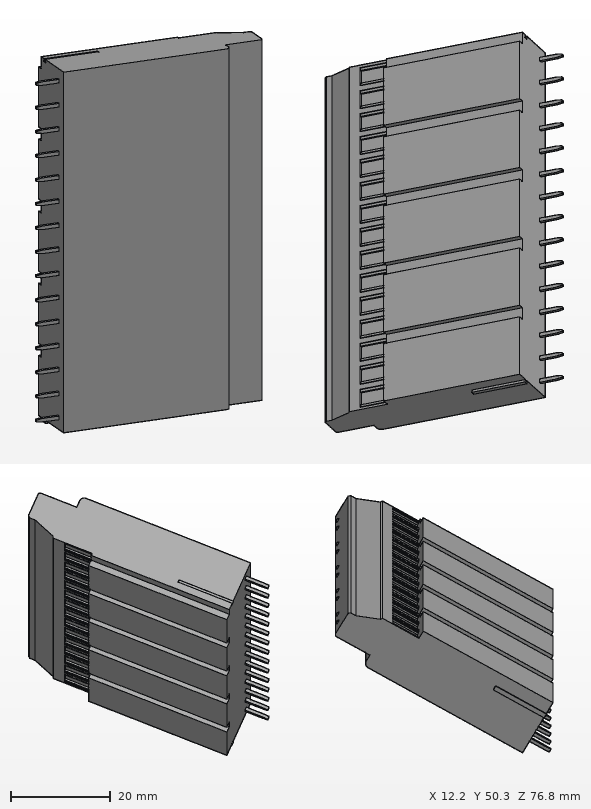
import cadquery as cq

PITCH = 5.08
POLES_PER_MODULE = 3
MODULES = 5
POLES = POLES_PER_MODULE * MODULES
MODULE_LENGTH = POLES_PER_MODULE * PITCH
BODY_LENGTH = POLES * PITCH

BODY_WIDTH = 12.24
BODY_HEIGHT = 45.03
SHOULDER_HEIGHT = 36.8
SHOULDER_ROUND = 1.0
REAR_X = 9.75
REAR_TOP_ROUND = 0.5
PANEL_HEIGHT = 30.1
STEP_X = 1.75
NOSE_X = 3.95
SLOPE_BOTTOM = 38.8
SLOPE_TOP = 43.4
SLOPE_BREAK_X = 0.4
SLOPE_BREAK_Y = 0.3
NOSE_CHAMFER_X = 0.36
NOSE_CHAMFER_Y = 0.45

CHANNEL_DEPTH = 1.27
CHANNEL_WIDTH = PITCH / 2

POCKET_TOP = 36.1
POCKET_WIDTH = 3.9
POCKET_DEPTH = 0.2
POCKET_CORE_WIDTH = 2.8
POCKET_CORE_DEPTH = 0.6

DOVETAIL_X = 3.0
DOVETAIL_LENGTH = 11.8
DOVETAIL_NECK = 0.5
DOVETAIL_HEAD = 1.0
DOVETAIL_HEIGHT = 0.64

PIN_X = 9.73
PIN_WIDTH = 0.7
PIN_THICKNESS = 0.75
PIN_LENGTH = 4.95
PIN_TIP_LENGTH = 1.2
PIN_TIP_THICKNESS = 0.4

BUMP_X = 8.35
BUMP_RADIUS = 0.45
BUMP_HEIGHT = 0.3
BUMP_THICKNESS = 0.3


def make_body():
    """Extrude the housing cross-section over all poles."""
    profile = (
        cq.Workplane("XY")
        .moveTo(0, 0)
        .lineTo(BODY_WIDTH, 0)
        .lineTo(BODY_WIDTH, SHOULDER_HEIGHT - SHOULDER_ROUND)
        .radiusArc((BODY_WIDTH - SHOULDER_ROUND, SHOULDER_HEIGHT), -SHOULDER_ROUND)
        .lineTo(REAR_X, SHOULDER_HEIGHT)
        .lineTo(REAR_X, BODY_HEIGHT - REAR_TOP_ROUND)
        .radiusArc((REAR_X - REAR_TOP_ROUND, BODY_HEIGHT), -REAR_TOP_ROUND)
        .lineTo(NOSE_X + NOSE_CHAMFER_X, BODY_HEIGHT)
        .lineTo(NOSE_X, BODY_HEIGHT - NOSE_CHAMFER_Y)
        .lineTo(NOSE_X, SLOPE_TOP)
        .lineTo(STEP_X + SLOPE_BREAK_X, SLOPE_BOTTOM)
        .lineTo(STEP_X, SLOPE_BOTTOM - SLOPE_BREAK_Y)
        .lineTo(STEP_X, PANEL_HEIGHT)
        .lineTo(0, PANEL_HEIGHT)
        .close()
    )
    return profile.extrude(BODY_LENGTH)


def make_channel(module):
    """Channel at the upper end of one module's panel."""
    top = (module + 1) * MODULE_LENGTH
    channel = cq.Workplane("XY").box(CHANNEL_DEPTH, PANEL_HEIGHT, CHANNEL_WIDTH, centered=False)
    return channel.translate((0, 0, top - CHANNEL_WIDTH))


def make_pocket(pole_z):
    """Two-level pocket: a shallow wide recess with a deeper one down its middle."""
    height = POCKET_TOP - PANEL_HEIGHT
    pocket = cq.Workplane("XY")
    for width, depth in ((POCKET_WIDTH, POCKET_DEPTH), (POCKET_CORE_WIDTH, POCKET_CORE_DEPTH)):
        level = cq.Workplane("XY").box(depth, height, width, centered=(False, False, True))
        pocket = pocket.union(level)
    return pocket.translate((STEP_X, PANEL_HEIGHT, pole_z))


def make_dovetail(end_z):
    """Dovetail bar hanging below the level end_z, wide side down."""
    return (
        cq.Workplane("XZ")
        .polyline(
            [
                (DOVETAIL_X - DOVETAIL_NECK / 2, end_z),
                (DOVETAIL_X + DOVETAIL_NECK / 2, end_z),
                (DOVETAIL_X + DOVETAIL_HEAD / 2, end_z - DOVETAIL_HEIGHT),
                (DOVETAIL_X - DOVETAIL_HEAD / 2, end_z - DOVETAIL_HEIGHT),
            ]
        )
        .close()
        .extrude(-DOVETAIL_LENGTH)
    )


def make_pin(pole_z):
    """Rectangular pin whose tip tapers in thickness."""
    shank_end = PIN_TIP_LENGTH - PIN_LENGTH
    return (
        cq.Workplane("YZ", origin=(PIN_X - PIN_WIDTH / 2, 0, pole_z))
        .polyline(
            [
                (0, -PIN_THICKNESS / 2),
                (shank_end, -PIN_THICKNESS / 2),
                (-PIN_LENGTH, -PIN_TIP_THICKNESS / 2),
                (-PIN_LENGTH, PIN_TIP_THICKNESS / 2),
                (shank_end, PIN_THICKNESS / 2),
                (0, PIN_THICKNESS / 2),
            ]
        )
        .close()
        .extrude(PIN_WIDTH)
    )


def make_bump(joint_z):
    """Thin arched bump on the top of the housing."""
    return (
        cq.Workplane("XY", origin=(BUMP_X, BODY_HEIGHT, joint_z - BUMP_THICKNESS / 2))
        .moveTo(-BUMP_RADIUS, 0)
        .threePointArc((0, BUMP_HEIGHT), (BUMP_RADIUS, 0))
        .close()
        .extrude(BUMP_THICKNESS)
    )


result = make_body()

for module in range(MODULES):
    result = result.cut(make_channel(module))

for pole in range(POLES):
    pole_center = (pole + 0.5) * PITCH
    result = result.cut(make_pocket(pole_center))
    result = result.union(make_pin(pole_center))

for joint in range(1, POLES):
    if joint % POLES_PER_MODULE != 0:
        result = result.union(make_bump(joint * PITCH))

result = result.cut(make_dovetail(BODY_LENGTH))
result = result.union(make_dovetail(0))